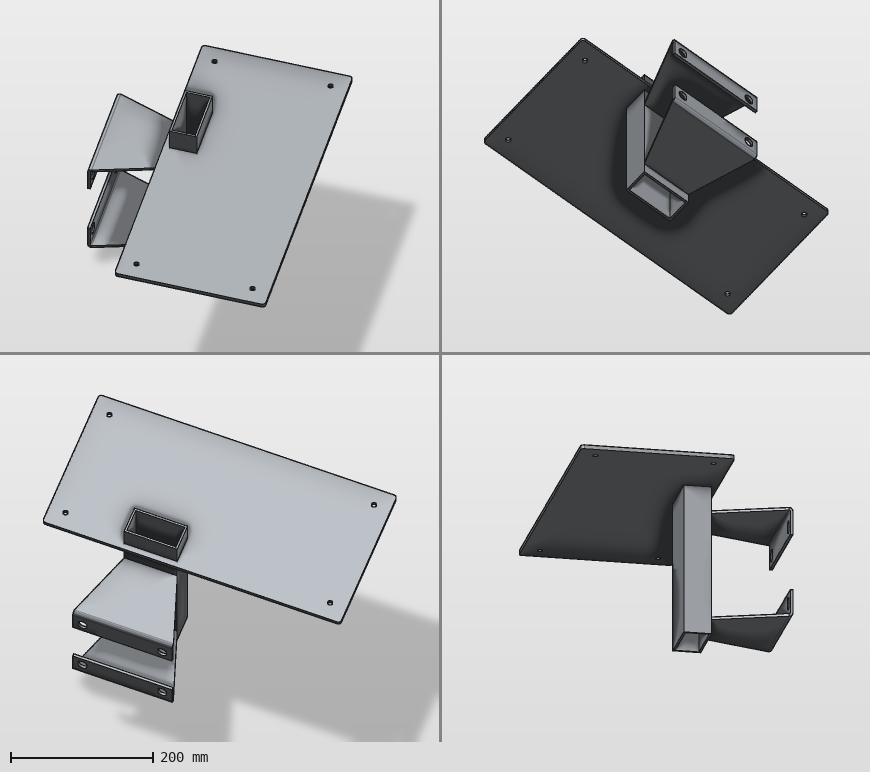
import cadquery as cq

post_x = 40.0
post_y = 80.0
post_height = 260.0
post_wall = 3.0

plate_x = 220.0
plate_y = 450.0
plate_thickness = 6.0
plate_overhang = 9.0
plate_top_drop = 34.5
plate_center_y = -65.0
plate_corner_radius = 5.0
plate_hole_diameter = 7.0
plate_hole_inset = 25.0
plate_left = -post_x / 2 - plate_overhang
plate_center_x = plate_left + plate_x / 2
plate_bottom = post_height - plate_top_drop - plate_thickness

bracket_reach = 110.0
bracket_width = 150.0
bracket_thickness = 4.0
bend_radius = 6.0
flange_height = 40.0
slot_width = 13.0
slot_length = 18.0
slot_spacing = 120.0
slot_offset = 24.5
upper_bracket_top = post_height - 76.0
lower_bracket_bottom = 21.0
post_face_x = -post_x / 2
flange_face_x = post_face_x - bracket_reach


def make_plate():
    """Rounded plate with four corner holes and an opening that fits the post."""
    plate = (
        cq.Workplane("XY")
        .box(plate_x, plate_y, plate_thickness, centered=(True, True, False))
        .edges("|Z")
        .fillet(plate_corner_radius)
        .faces(">Z")
        .workplane()
        .rect(plate_x - 2 * plate_hole_inset, plate_y - 2 * plate_hole_inset, forConstruction=True)
        .vertices()
        .hole(plate_hole_diameter)
        .translate((plate_center_x, plate_center_y, plate_bottom))
    )
    opening = cq.Workplane("XY").rect(post_x, post_y).extrude(post_height)
    return plate.cut(opening)


def make_post():
    """Open-ended rectangular tube."""
    return (
        cq.Workplane("XY")
        .rect(post_x, post_y)
        .rect(post_x - 2 * post_wall, post_y - 2 * post_wall)
        .extrude(post_height)
    )


def make_bracket():
    """Bracket with its outer face on z = 0 and its flange pointing down."""
    bent_sheet = (
        cq.Workplane("XZ")
        .moveTo(post_face_x, 0)
        .lineTo(flange_face_x, 0)
        .lineTo(flange_face_x, -flange_height)
        .lineTo(flange_face_x + bracket_thickness, -flange_height)
        .lineTo(flange_face_x + bracket_thickness, -bracket_thickness)
        .lineTo(post_face_x, -bracket_thickness)
        .close()
        .extrude(bracket_width / 2, both=True)
    )
    outer_corner = cq.selectors.NearestToPointSelector((flange_face_x, 0, 0))
    inner_corner = cq.selectors.NearestToPointSelector(
        (flange_face_x + bracket_thickness, 0, -bracket_thickness)
    )
    bent_sheet = bent_sheet.edges("|Y").edges(outer_corner).fillet(bend_radius)
    bent_sheet = bent_sheet.edges("|Y").edges(inner_corner).fillet(bend_radius - bracket_thickness)

    taper_start_x = flange_face_x + bend_radius
    taper_outline = (
        cq.Workplane("XY")
        .moveTo(flange_face_x, -bracket_width / 2)
        .lineTo(taper_start_x, -bracket_width / 2)
        .lineTo(post_face_x, -post_y / 2)
        .lineTo(post_face_x, post_y / 2)
        .lineTo(taper_start_x, bracket_width / 2)
        .lineTo(flange_face_x, bracket_width / 2)
        .close()
        .extrude(-flange_height)
    )
    slots = (
        cq.Workplane("YZ", origin=(flange_face_x, 0, -slot_offset))
        .pushPoints([(-slot_spacing / 2, 0), (slot_spacing / 2, 0)])
        .slot2D(slot_length, slot_width, 90)
        .extrude(bracket_thickness)
    )
    return bent_sheet.intersect(taper_outline).cut(slots)


def make_stand():
    """Post with the upper bracket's flange down and the lower bracket's flange up."""
    bracket = make_bracket()
    upper_bracket = bracket.translate((0, 0, upper_bracket_top))
    lower_bracket = bracket.mirror("XY").translate((0, 0, lower_bracket_bottom))
    return make_post().union(upper_bracket).union(lower_bracket)


plate = make_plate()
stand = make_stand()
result = cq.Compound.makeCompound([plate.val(), stand.val()])